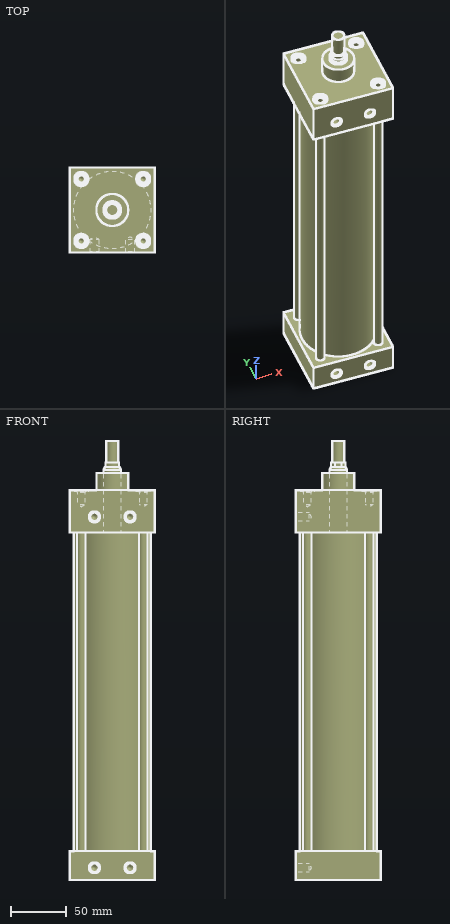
import cadquery as cq
import math

total_height = 393.7
block_side = 76.5

base_top = 26.0
head_bottom = 311.5
head_top = 349.5
boss_top = 365.0
boss_diameter = 28.7

tube_diameter = 69.3
tie_rod_diameter = 8.0
tie_rod_spacing = 55.5

top_counterbore_diameter = 12.5
top_counterbore_depth = 1.0
top_countersink_diameter = 8.5
top_hole_diameter = 6.5
top_hole_depth = 12.0

side_countersink_diameter = 10.0
side_hole_diameter = 8.0
side_hole_depth = 12.0
side_hole_spacing = 32.0
base_hole_height = 11.0
head_hole_height = 325.5

drill_point_angle = 118.0

rod_diameter = 15.7
rod_shoulder = 367.7
neck_bottom = 370.0
neck_top = 374.5
neck_diameter = 13.5
neck_flats = 12.2
stud_diameter = 11.0


def countersunk_drill(hole_diameter, depth, countersink_diameter):
    """Cutter for a countersunk hole with a conical end, entering the XY plane along -Z."""
    hole_radius = hole_diameter / 2
    countersink_radius = countersink_diameter / 2
    countersink_depth = countersink_radius - hole_radius
    point_length = hole_radius / math.tan(math.radians(drill_point_angle / 2))
    profile = [
        (0, 0),
        (countersink_radius, 0),
        (hole_radius, -countersink_depth),
        (hole_radius, -depth),
        (0, -depth - point_length),
    ]
    return cq.Workplane("XZ").polyline(profile).close().revolve(360, (0, 0), (0, 1))


def upright_cylinder(diameter, bottom, top):
    return cq.Workplane("XY").workplane(offset=bottom).circle(diameter / 2).extrude(top - bottom)


def square_block(bottom, top):
    return cq.Workplane("XY").workplane(offset=bottom).rect(block_side, block_side).extrude(top - bottom)


def tie_rod_corners():
    offset = tie_rod_spacing / 2
    return [(x, y) for x in (-offset, offset) for y in (-offset, offset)]


def make_rod():
    """Piston rod: full-diameter shank, coned shoulder, neck with two wrench flats, and end stud."""
    rod_radius = rod_diameter / 2
    neck_radius = neck_diameter / 2
    stud_radius = stud_diameter / 2
    profile = [
        (0, head_bottom),
        (rod_radius, head_bottom),
        (rod_radius, rod_shoulder),
        (neck_radius, neck_bottom),
        (neck_radius, neck_top),
        (stud_radius, neck_top),
        (stud_radius, total_height),
        (0, total_height),
    ]
    rod = cq.Workplane("XZ").polyline(profile).close().revolve(360, (0, 0), (0, 1))

    flat_cut = (
        cq.Workplane("XY")
        .workplane(offset=neck_bottom)
        .rect(2 * rod_diameter, 2 * rod_diameter)
        .rect(neck_flats, 2 * rod_diameter)
        .extrude(neck_top - neck_bottom)
    )
    return rod.cut(flat_cut)


def make_cylinder_body():
    """Base, tube, tie rods, head and rod boss, with mounting holes and the rod bore."""
    body = square_block(0, base_top)
    body = body.union(upright_cylinder(tube_diameter, base_top, head_bottom))
    for x, y in tie_rod_corners():
        body = body.union(upright_cylinder(tie_rod_diameter, base_top, head_bottom).translate((x, y, 0)))
    body = body.union(square_block(head_bottom, head_top))
    body = body.union(upright_cylinder(boss_diameter, head_top, boss_top))

    counterbore_floor = head_top - top_counterbore_depth
    counterbore = upright_cylinder(top_counterbore_diameter, counterbore_floor, head_top)
    top_drill = countersunk_drill(top_hole_diameter, top_hole_depth, top_countersink_diameter)
    top_hole = counterbore.union(top_drill.translate((0, 0, counterbore_floor)))
    for x, y in tie_rod_corners():
        body = body.cut(top_hole.translate((x, y, 0)))

    side_drill = countersunk_drill(side_hole_diameter, side_hole_depth, side_countersink_diameter)
    side_drill = side_drill.rotate((0, 0, 0), (1, 0, 0), 90)
    for z in (base_hole_height, head_hole_height):
        for x in (-side_hole_spacing / 2, side_hole_spacing / 2):
            body = body.cut(side_drill.translate((x, -block_side / 2, z)))

    return body.cut(upright_cylinder(rod_diameter, head_bottom, boss_top))


cylinder_body = make_cylinder_body()
rod = make_rod()

result = cq.Compound.makeCompound([cylinder_body.val(), rod.val()])